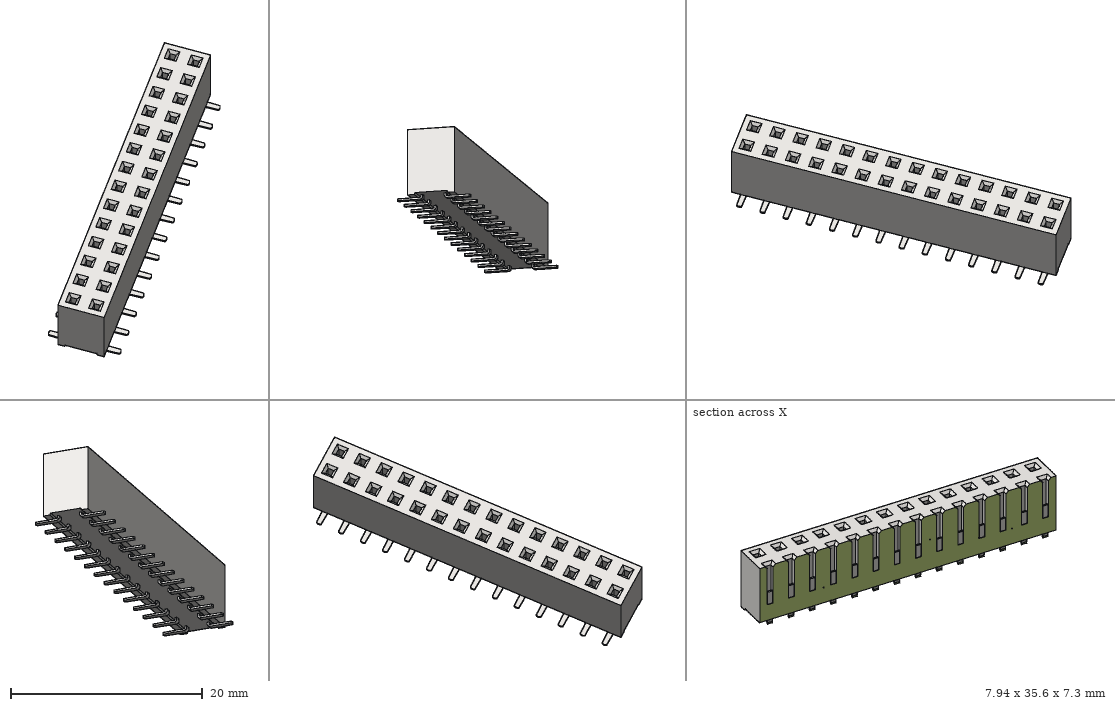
import cadquery as cq

pitch = 2.54
rows = 14
columns = 2
total_height = 7.3
body_width = columns * pitch
body_length = rows * pitch
standoff_gap = 0.3

channel_roof = 0.5
channel_roof_width = 3.4
channel_mouth_width = 3.6

funnel_mouth = 1.28
hole_size = 0.65
funnel_depth = (funnel_mouth - hole_size) / 2
hole_floor = 2.5

lead_span = 7.94
lead_thickness = 0.2
lead_top = 4.0
foot_tip_width = 0.54
foot_root_width = 0.61
foot_tip_bulge = 0.1
bend_inner_radius = 0.1
bend_outer_radius = bend_inner_radius + lead_thickness

column_x = pitch / 2
contact_inner_x = column_x - lead_thickness / 2
contact_outer_x = contact_inner_x + lead_thickness
foot_tip_x = lead_span / 2
row_positions = [(row - (rows - 1) / 2) * pitch for row in range(rows)]


def make_housing():
    block = (
        cq.Workplane("XY")
        .workplane(offset=standoff_gap)
        .rect(body_width, body_length)
        .extrude(total_height - standoff_gap)
    )
    channel = (
        cq.Workplane("XZ")
        .moveTo(-channel_mouth_width / 2, standoff_gap)
        .lineTo(channel_mouth_width / 2, standoff_gap)
        .lineTo(channel_roof_width / 2, channel_roof)
        .lineTo(-channel_roof_width / 2, channel_roof)
        .close()
        .extrude(body_length / 2, both=True)
    )
    return block.cut(channel)


def make_socket():
    """Void of one socket, centred on the Z axis."""
    funnel_bottom = total_height - funnel_depth
    funnel = (
        cq.Workplane("XY")
        .workplane(offset=total_height)
        .rect(funnel_mouth, funnel_mouth)
        .workplane(offset=-funnel_depth)
        .rect(hole_size, hole_size)
        .loft(ruled=True)
    )
    hole = (
        cq.Workplane("XY")
        .workplane(offset=hole_floor)
        .rect(hole_size, hole_size)
        .extrude(funnel_bottom - hole_floor)
    )
    return funnel.union(hole)


def make_lead():
    """One lead of the +X column, centred on Y = 0, with its foot pointing to +X."""
    bend_x = contact_inner_x + bend_outer_radius
    bend_z = bend_outer_radius
    strip = (
        cq.Workplane("XZ")
        .moveTo(foot_tip_x, 0)
        .lineTo(bend_x, 0)
        .radiusArc((contact_inner_x, bend_z), bend_outer_radius)
        .lineTo(contact_inner_x, lead_top)
        .lineTo(contact_outer_x, lead_top)
        .lineTo(contact_outer_x, bend_z)
        .radiusArc((bend_x, lead_thickness), -bend_inner_radius)
        .lineTo(foot_tip_x, lead_thickness)
        .close()
        .extrude(foot_root_width / 2, both=True)
    )
    root_x = body_width / 2
    plan = (
        cq.Workplane("XY")
        .moveTo(contact_inner_x, -foot_root_width / 2)
        .lineTo(root_x, -foot_root_width / 2)
        .lineTo(foot_tip_x - foot_tip_bulge, -foot_tip_width / 2)
        .threePointArc((foot_tip_x, 0), (foot_tip_x - foot_tip_bulge, foot_tip_width / 2))
        .lineTo(root_x, foot_root_width / 2)
        .lineTo(contact_inner_x, foot_root_width / 2)
        .close()
        .extrude(lead_top)
    )
    return strip.intersect(plan)


def at_every_row(solid):
    return [solid.moved(cq.Location(cq.Vector(0, y, 0))) for y in row_positions]


right_socket = make_socket().translate((column_x, 0, 0))
right_lead = make_lead()

sockets = []
leads = []
for socket in (right_socket, right_socket.mirror("YZ")):
    sockets += at_every_row(socket.val())
for lead in (right_lead, right_lead.mirror("YZ")):
    leads += at_every_row(lead.val())

housing = make_housing().val().cut(*sockets)
result = cq.Workplane(housing.fuse(*leads))